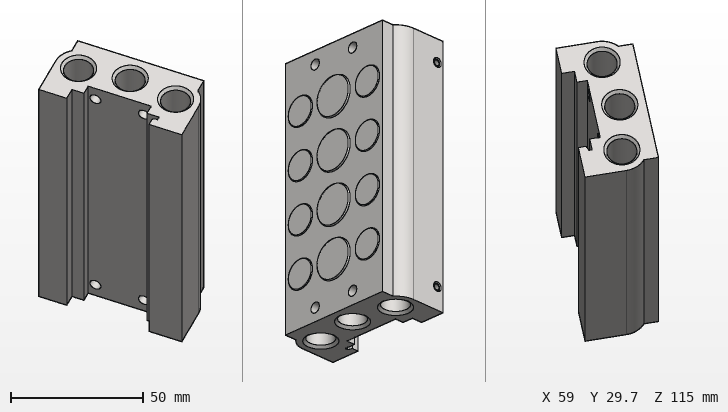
import cadquery as cq
import math

LENGTH = 115.0
WIDTH = 59.0
BODY_DEPTH = 29.0

TOP_WIDTH = 52.0

BORE_DIAMETER = 11.4
BORE_MOUTH_DIAMETER = 13.7
BORE_SPACING = 20.0
OUTER_BORE_HEIGHT = 16.0
CENTER_BORE_HEIGHT = 19.0

FLOOR_HEIGHT = 9.0
LEDGE_HEIGHT = 5.0
FLOOR_HALF_WIDTH = 13.0
CHANNEL_HALF_WIDTH = 17.9
LIP_HALF_WIDTH = 16.0
LIP_ANGLE = 17.0
LIP_ROOT_HEIGHT = 3.7

MOUNT_DIAMETER = 4.5
MOUNT_SPACING_X = 20.0
MOUNT_SPACING_Z = 103.0

SCREW_MOUTH_DIAMETER = 4.0
SCREW_SEAT_DIAMETER = 3.2
SCREW_HOLE_DIAMETER = 2.4
SCREW_HOLE_DEPTH = 4.0
SCREW_HEIGHT = 3.1
SCREW_END_DISTANCE = 10.0

STATION_COUNT = 4
STATION_PITCH = 23.0
CENTER_PAD_DIAMETER = 17.5
CENTER_PAD_HEIGHT = 0.7
SIDE_PAD_DIAMETER = 13.0
SIDE_PAD_HEIGHT = 0.3
SIDE_PAD_SPACING = 17.9
PAD_RIM_INSET = 0.3


def make_body():
    """Extrude the cross-section, with the -Y side at Y = 0 and centred on X and Z."""
    half_width = WIDTH / 2
    half_top = TOP_WIDTH / 2
    shoulder_radius = half_width - BORE_SPACING
    corner_angle = math.acos((half_top - BORE_SPACING) / shoulder_radius)
    corner_height = OUTER_BORE_HEIGHT + shoulder_radius * math.sin(corner_angle)
    arc_mid_x = BORE_SPACING + shoulder_radius * math.cos(corner_angle / 2)
    arc_mid_y = OUTER_BORE_HEIGHT + shoulder_radius * math.sin(corner_angle / 2)
    lip_drop = (CHANNEL_HALF_WIDTH - LIP_HALF_WIDTH) * math.tan(math.radians(LIP_ANGLE))

    return (
        cq.Workplane("XY", origin=(0, 0, -LENGTH / 2))
        .moveTo(-half_width, 0)
        .lineTo(-CHANNEL_HALF_WIDTH, 0)
        .lineTo(-CHANNEL_HALF_WIDTH, LEDGE_HEIGHT)
        .lineTo(-FLOOR_HALF_WIDTH, LEDGE_HEIGHT)
        .lineTo(-FLOOR_HALF_WIDTH, FLOOR_HEIGHT)
        .lineTo(FLOOR_HALF_WIDTH, FLOOR_HEIGHT)
        .lineTo(FLOOR_HALF_WIDTH, LEDGE_HEIGHT)
        .lineTo(CHANNEL_HALF_WIDTH, LEDGE_HEIGHT)
        .lineTo(CHANNEL_HALF_WIDTH, LIP_ROOT_HEIGHT)
        .lineTo(LIP_HALF_WIDTH, LIP_ROOT_HEIGHT - lip_drop)
        .lineTo(LIP_HALF_WIDTH, 0)
        .lineTo(half_width, 0)
        .lineTo(half_width, OUTER_BORE_HEIGHT)
        .threePointArc((arc_mid_x, arc_mid_y), (half_top, corner_height))
        .lineTo(half_top, BODY_DEPTH)
        .lineTo(-half_top, BODY_DEPTH)
        .lineTo(-half_top, corner_height)
        .threePointArc((-arc_mid_x, arc_mid_y), (-half_width, OUTER_BORE_HEIGHT))
        .close()
        .extrude(LENGTH)
    )


def make_pad(x, z, diameter, height):
    """A round pad on the +Y face whose rim slopes inward towards the top."""
    rim_taper = math.degrees(math.atan(PAD_RIM_INSET / height))
    return (
        cq.Workplane("XZ", origin=(x, BODY_DEPTH, z))
        .circle(diameter / 2)
        .extrude(-height, taper=rim_taper)
    )


def make_bore(x, y):
    """A bore along the full length with a 45 degree chamfer at each mouth."""
    mouth_depth = (BORE_MOUTH_DIAMETER - BORE_DIAMETER) / 2
    half_length = LENGTH / 2
    bore_radius = BORE_DIAMETER / 2
    mouth_radius = BORE_MOUTH_DIAMETER / 2
    return (
        cq.Workplane("XZ")
        .moveTo(0, -half_length)
        .lineTo(mouth_radius, -half_length)
        .lineTo(bore_radius, mouth_depth - half_length)
        .lineTo(bore_radius, half_length - mouth_depth)
        .lineTo(mouth_radius, half_length)
        .lineTo(0, half_length)
        .close()
        .revolve(360, (0, 0, 0), (0, 1, 0))
        .translate((x, y, 0))
    )


def make_mount_holes():
    """Four through holes along Y, between the bores."""
    return (
        cq.Workplane("XZ")
        .rect(MOUNT_SPACING_X, MOUNT_SPACING_Z, forConstruction=True)
        .vertices()
        .circle(MOUNT_DIAMETER / 2)
        .extrude(-BODY_DEPTH)
    )


def make_screw_hole(z):
    """A blind hole along X into the -X rail, below a flat seat with a chamfered mouth."""
    mouth_radius = SCREW_MOUTH_DIAMETER / 2
    seat_radius = SCREW_SEAT_DIAMETER / 2
    mouth_depth = mouth_radius - seat_radius
    hole_radius = SCREW_HOLE_DIAMETER / 2
    return (
        cq.Workplane("XY")
        .lineTo(0, mouth_radius)
        .lineTo(mouth_depth, seat_radius)
        .lineTo(mouth_depth, hole_radius)
        .lineTo(SCREW_HOLE_DEPTH, hole_radius)
        .lineTo(SCREW_HOLE_DEPTH, 0)
        .close()
        .revolve(360, (0, 0, 0), (1, 0, 0))
        .translate((-WIDTH / 2, SCREW_HEIGHT, z))
    )


result = make_body()

for station in range(STATION_COUNT):
    station_z = (station - (STATION_COUNT - 1) / 2) * STATION_PITCH
    result = result.union(make_pad(0, station_z, CENTER_PAD_DIAMETER, CENTER_PAD_HEIGHT))
    for side in (-1, 1):
        side_pad = make_pad(side * SIDE_PAD_SPACING, station_z, SIDE_PAD_DIAMETER, SIDE_PAD_HEIGHT)
        result = result.union(side_pad)

result = result.cut(make_bore(0, CENTER_BORE_HEIGHT))
for side in (-1, 1):
    result = result.cut(make_bore(side * BORE_SPACING, OUTER_BORE_HEIGHT))

result = result.cut(make_mount_holes())
for end in (-1, 1):
    result = result.cut(make_screw_hole(end * (LENGTH / 2 - SCREW_END_DISTANCE)))